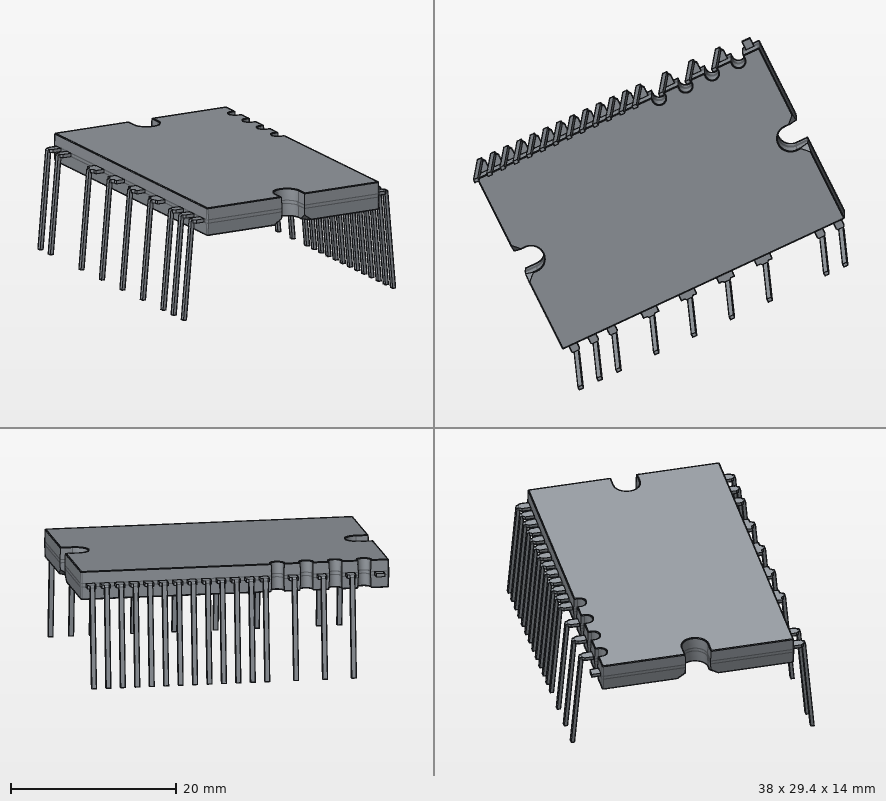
import cadquery as cq
import math

BODY_LENGTH = 38.0
BODY_WIDTH = 23.95
BODY_HEIGHT = 3.5
BAND_TOP = 2.0
LEAD_THICKNESS = 0.4
BAND_BOTTOM = BAND_TOP - LEAD_THICKNESS
DRAFT_ANGLE = 2.0
EDGE_CHAMFER = 0.095
CORNER_RADIUS = 0.2

NOTCH_RADIUS = 1.55
NOTCH_DEPTH = 2 * NOTCH_RADIUS
CORNER_CUT_REACH = 1.15
CORNER_CUT_HEIGHT = 0.8

SLOT_RADIUS = 0.75
SLOT_DEPTH = 1.25

TOTAL_WIDTH = 29.4
TOTAL_HEIGHT = 14.0
LEG_WIDTH = 0.57
PAD_WIDTH = 1.05
WIDE_PAD_WIDTH = 2.05
PAD_LENGTH = 1.1
NECK_LENGTH = 0.3
LEG_SPLAY = 5.0
BEND_RADIUS = 0.23
LEAD_EMBED = 0.38

ROW_SPAN = 35.55
BACK_ROW_SHIFT = 0.05
BACK_LAST = 20
FRONT_LAST = 14
BACK_PITCH = ROW_SPAN / BACK_LAST
FRONT_PITCH = ROW_SPAN / FRONT_LAST
BACK_STUB = 0
BACK_LEADS = [2, 4, 6, *range(8, BACK_LAST + 1)]
BACK_SLOTS = [1, 3, 5, 7]
FRONT_LEADS = [0, 1, 12, 13, FRONT_LAST]
FRONT_WIDE_LEADS = [4, 6, 8, 10]

EDGE_Y = BODY_WIDTH / 2
PAD_END_Y = EDGE_Y + PAD_LENGTH
FOOT_Z = BODY_HEIGHT - TOTAL_HEIGHT


def back_x(index):
    return index * BACK_PITCH - ROW_SPAN / 2 + BACK_ROW_SHIFT


def front_x(index):
    return index * FRONT_PITCH - ROW_SPAN / 2


def round_slot(radius, depth):
    """Cutter for a round-ended notch entering along +X from an edge at x = 0."""
    straight = depth - radius
    return (
        cq.Workplane("XY")
        .moveTo(-radius, -radius)
        .lineTo(straight, -radius)
        .threePointArc((depth, 0), (straight, radius))
        .lineTo(-radius, radius)
        .close()
        .extrude(BODY_HEIGHT)
    )


def body_outline():
    """Closed wire of the body outline with the end notches and back slots removed."""
    plate = cq.Workplane("XY").box(BODY_LENGTH, BODY_WIDTH, BODY_HEIGHT, centered=(True, True, False))
    plate = plate.edges("|Z").fillet(CORNER_RADIUS)
    notch = round_slot(NOTCH_RADIUS, NOTCH_DEPTH).translate((-BODY_LENGTH / 2, 0, 0))
    plate = plate.cut(notch).cut(notch.mirror("YZ"))
    slot = round_slot(SLOT_RADIUS, SLOT_DEPTH).rotate((0, 0, 0), (0, 0, 1), -90)
    for index in BACK_SLOTS:
        plate = plate.cut(slot.translate((back_x(index), EDGE_Y, 0)))
    return plate.faces("<Z").wires().val()


def body_half(outline, start_z, height):
    """Drafted half of the body growing up from start_z, or down if height is negative."""
    half = (
        cq.Workplane("XY")
        .add(outline.translate(cq.Vector(0, 0, start_z)))
        .toPending()
        .extrude(height, taper=DRAFT_ANGLE)
    )
    end_face = ">Z" if height > 0 else "<Z"
    return half.faces(end_face).chamfer(EDGE_CHAMFER)


def corner_cut(x_side, y_side):
    """Wedge that slopes off the lower corner at the mouth of an end notch."""
    corner = cq.Vector(x_side * BODY_LENGTH / 2, y_side * NOTCH_RADIUS, 0)
    along_x = corner + cq.Vector(-x_side * CORNER_CUT_REACH, 0, 0)
    along_y = corner + cq.Vector(0, y_side * CORNER_CUT_REACH, 0)
    above = corner + cq.Vector(0, 0, CORNER_CUT_HEIGHT)
    triangles = [
        (corner, along_x, along_y),
        (corner, along_x, above),
        (corner, along_y, above),
        (along_x, along_y, above),
    ]
    faces = [cq.Face.makeFromWires(cq.Wire.makePolygon(points, close=True)) for points in triangles]
    return cq.Workplane(cq.Solid.makeSolid(cq.Shell.makeShell(faces)))


def build_body():
    outline = body_outline()
    band = (
        cq.Workplane("XY")
        .add(outline.translate(cq.Vector(0, 0, BAND_BOTTOM)))
        .toPending()
        .extrude(LEAD_THICKNESS)
    )
    body = band.union(body_half(outline, BAND_TOP, BODY_HEIGHT - BAND_TOP))
    body = body.union(body_half(outline, BAND_BOTTOM, -BAND_BOTTOM))
    for x_side in (-1, 1):
        for y_side in (-1, 1):
            body = body.cut(corner_cut(x_side, y_side))
    return body


def pad(width):
    """Flat pad leaving the back edge."""
    return (
        cq.Workplane("XY")
        .box(width, LEAD_EMBED + PAD_LENGTH, LEAD_THICKNESS, centered=(True, False, False))
        .translate((0, EDGE_Y - LEAD_EMBED, BAND_BOTTOM))
    )


def bent_leg():
    """Strip that runs out level, bends over and splays down to the foot."""
    slope = math.tan(math.radians(LEG_SPLAY))
    leg_thickness_y = LEAD_THICKNESS / math.cos(math.radians(LEG_SPLAY))
    foot_y = TOTAL_WIDTH / 2
    knee_y = foot_y - slope * (BAND_TOP - FOOT_Z)
    inner_foot_y = foot_y - leg_thickness_y
    inner_knee_y = inner_foot_y - slope * (BAND_BOTTOM - FOOT_Z)
    strip = (
        cq.Workplane("YZ")
        .polyline([
            (EDGE_Y, BAND_TOP),
            (knee_y, BAND_TOP),
            (foot_y, FOOT_Z),
            (inner_foot_y, FOOT_Z),
            (inner_knee_y, BAND_BOTTOM),
            (EDGE_Y, BAND_BOTTOM),
        ])
        .close()
        .extrude(LEG_WIDTH / 2, both=True)
    )
    knee = cq.selectors.NearestToPointSelector((0, knee_y, BAND_TOP))
    return strip.edges("|X").edges(knee).fillet(BEND_RADIUS)


def lead(pad_width):
    """Complete lead for the back row, centred on x = 0."""
    neck = (
        cq.Workplane("XY", origin=(0, 0, BAND_BOTTOM))
        .polyline([
            (-PAD_WIDTH / 2, PAD_END_Y),
            (PAD_WIDTH / 2, PAD_END_Y),
            (LEG_WIDTH / 2, PAD_END_Y + NECK_LENGTH),
            (-LEG_WIDTH / 2, PAD_END_Y + NECK_LENGTH),
        ])
        .close()
        .extrude(LEAD_THICKNESS)
    )
    return pad(pad_width).union(neck).union(bent_leg())


def build_leads():
    back_lead = lead(PAD_WIDTH)
    front_lead = back_lead.mirror("XZ")
    wide_front_lead = lead(WIDE_PAD_WIDTH).mirror("XZ")
    leads = [pad(PAD_WIDTH).translate((back_x(BACK_STUB), 0, 0))]
    leads += [back_lead.translate((back_x(i), 0, 0)) for i in BACK_LEADS]
    leads += [front_lead.translate((front_x(i), 0, 0)) for i in FRONT_LEADS]
    leads += [wide_front_lead.translate((front_x(i), 0, 0)) for i in FRONT_WIDE_LEADS]
    return leads


result = build_body()
for single_lead in build_leads():
    result = result.union(single_lead)